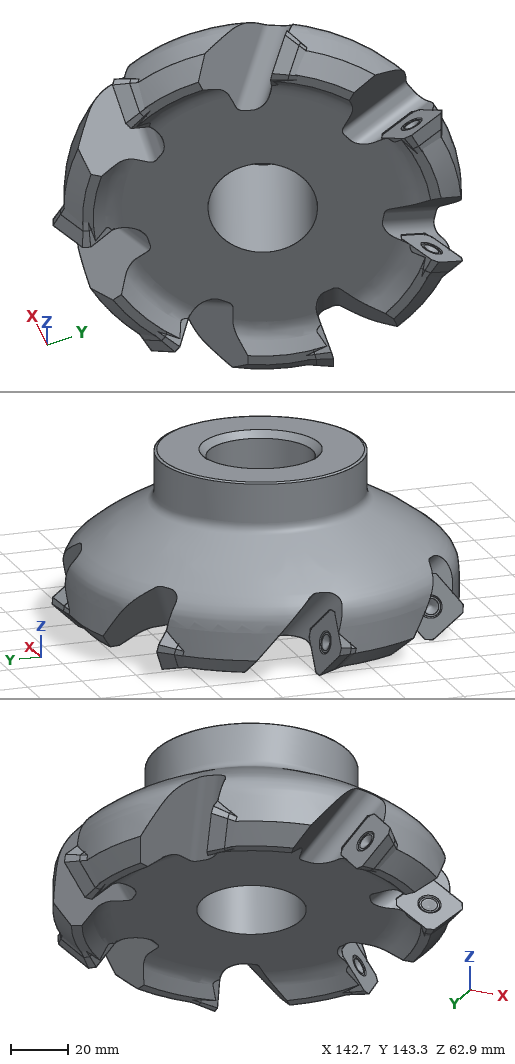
import cadquery as cq
import math

total_height = 62.9
hub_radius = 74.4 / 2
hub_chamfer_width = 1.0
hub_chamfer_height = 0.5
hub_bottom_z = 48.0
neck_fillet_radius = 4.0
neck_slope = 28.0
dome_shoulder_radius = 56.0
dome_shoulder_z = 35.1
dome_flank_radius = 64.5
dome_flank_z = 28.7
belt_radius = 69.2
belt_top_z = 18.3
belt_bottom_z = 8.3
rim_bottom_z = 1.9
rim_inner_radius = 59.0
recess_depth = belt_bottom_z - rim_bottom_z
recess_side_slope = 45.0
recess_fillet_radius = 8.6
bore_radius = 38.1 / 2
bore_chamfer = 2.5

insert_count = 7
pitch_angle = 360 / insert_count
first_insert_angle = 28.6
tip_radius = 73.5
axial_rake = 14.5
radial_rake = 5.0
insert_reach = 11.6
insert_center_z = insert_reach * math.cos(math.radians(axial_rake))
corner_half_width = 1.5
insert_thickness = 5.6
insert_relief = 26.0
seat_thickness = 3.5
pocket_mouth = 5.7
screw_sink_diameter = 8.2
screw_head_diameter = 7.2
screw_sink_depth = 0.3
socket_rim_diameter = 5.7
socket_diameter = 4.5
socket_rim_depth = 0.3
socket_depth = 1.5

flute_floor_offset = 12.0
flute_rake_fillet = 4.7
flute_wall_fillet = 3.5
flute_floor_width = 9.2
flute_wall_angle = 40.6
flute_opening = 57.3
flute_half_length = 57.3


def place_at_rim(shape, angle):
    """Move a shape from the insert's own frame (face in XZ, facing -Y) to its place on the rim."""
    tilted = shape.rotate((0, 0, 0), (1, 0, 0), -axial_rake)
    tilted = tilted.rotate((0, 0, 0), (0, 0, 1), radial_rake)
    reach = insert_reach * math.cos(math.radians(radial_rake))
    lag = insert_reach * math.sin(math.radians(radial_rake))
    moved = tilted.translate((tip_radius - reach, -lag, insert_center_z))
    return moved.rotate((0, 0, 0), (0, 0, 1), angle)


def clipped_square(plane_y, scale):
    """Outline of a square standing on a clipped corner, in the XZ plane at Y = plane_y."""
    reach = insert_reach * scale
    half = corner_half_width * scale
    corners = [
        (reach, -half), (reach, half), (half, reach), (-half, reach),
        (-reach, half), (-reach, -half), (-half, -reach), (half, -reach),
    ]
    return cq.Wire.makePolygon([cq.Vector(x, plane_y, z) for x, z in corners], close=True)


def relieved_plate(front_depth, back_depth):
    """Slice of the insert's tapered form between two depths behind its front face."""
    narrowing = math.tan(math.radians(insert_relief)) / insert_reach
    front = clipped_square(front_depth, 1 - front_depth * narrowing)
    back = clipped_square(back_depth, 1 - back_depth * narrowing)
    return cq.Workplane(cq.Solid.makeLoft([front, back], True))


def make_housing_blank():
    """Hub, domed flank, belt and 45 degree rim turned around Z, bored through and recessed below."""
    slope = math.radians(neck_slope)
    neck_radius = hub_radius + neck_fillet_radius * (1 - math.sin(slope))
    neck_z = hub_bottom_z - neck_fillet_radius * math.cos(slope)
    half_turn = (math.pi / 2 - slope) / 2
    neck_mid = (
        hub_radius + neck_fillet_radius * (1 - math.cos(half_turn)),
        hub_bottom_z - neck_fillet_radius * math.sin(half_turn),
    )
    rim_outer_radius = belt_radius - recess_depth
    profile = (
        cq.Workplane("XZ")
        .moveTo(bore_radius, total_height - bore_chamfer)
        .lineTo(bore_radius + bore_chamfer, total_height)
        .lineTo(hub_radius - hub_chamfer_width, total_height)
        .lineTo(hub_radius, total_height - hub_chamfer_height)
        .lineTo(hub_radius, hub_bottom_z)
        .threePointArc(neck_mid, (neck_radius, neck_z))
        .spline(
            [
                (dome_shoulder_radius, dome_shoulder_z),
                (dome_flank_radius, dome_flank_z),
                (belt_radius, belt_top_z),
            ],
            tangents=[(math.cos(slope), -math.sin(slope)), (0, -1)],
            includeCurrent=True,
        )
        .lineTo(belt_radius, belt_bottom_z)
        .lineTo(rim_outer_radius, rim_bottom_z)
        .lineTo(bore_radius, rim_bottom_z)
        .close()
    )
    blank = profile.revolve(360, (0, 0, 0), (0, 1, 0))
    recess = (
        cq.Workplane("XY")
        .workplane(offset=rim_bottom_z)
        .circle(rim_inner_radius)
        .extrude(recess_depth, taper=recess_side_slope)
        .faces(">Z").edges().fillet(recess_fillet_radius)
    )
    return blank.cut(recess)


def make_flute():
    """V groove between the insert's face plane and a sloping far wall, along the (1, 0, 1) diagonal."""
    wall_rise = (flute_floor_offset + flute_opening) * math.tan(math.radians(flute_wall_angle))
    section_plane = cq.Plane(origin=(0, 0, 0), xDir=(-1, 0, 1), normal=(1, 0, 1))
    groove = (
        cq.Workplane(section_plane)
        .workplane(offset=-flute_half_length)
        .moveTo(-flute_opening, 0)
        .lineTo(flute_floor_offset, 0)
        .lineTo(flute_floor_offset, flute_floor_width)
        .lineTo(-flute_opening, flute_floor_width + wall_rise)
        .close()
        .extrude(2 * flute_half_length)
    )
    groove = groove.faces(">(-1, 0, 1)").edges(">Y").fillet(flute_rake_fillet)
    return groove.faces(">(-1, 0, 1)").edges("<Y").fillet(flute_wall_fillet)


def make_insert():
    """Tapered plate with the stepped recess of its screw head, ending in a conical bottom."""
    plate = relieved_plate(0, insert_thickness)
    sink = screw_sink_depth
    rim = sink + socket_rim_depth
    screw_recess = (
        cq.Workplane("XY")
        .polyline([
            (0, 0), (screw_sink_diameter / 2, 0), (screw_head_diameter / 2, sink),
            (socket_rim_diameter / 2, sink), (socket_diameter / 2, rim),
            (0, rim + socket_depth),
        ])
        .close()
        .revolve(360, (0, 0, 0), (0, 1, 0))
    )
    return plate.cut(screw_recess)


def make_pocket():
    """Room for one insert, with a straight mouth in front of its face."""
    outline = clipped_square(0, 1)
    mouth = cq.Workplane(cq.Solid.extrudeLinear(outline, [], cq.Vector(0, -pocket_mouth, 0)))
    return relieved_plate(0, insert_thickness).union(mouth)


insert_angles = [first_insert_angle + i * pitch_angle for i in range(insert_count)]
seat = relieved_plate(insert_thickness, insert_thickness + seat_thickness)
flute = make_flute()
pocket = make_pocket()
insert = make_insert()

housing = make_housing_blank()
for angle in insert_angles:
    housing = housing.union(place_at_rim(seat, angle))
for angle in insert_angles:
    housing = housing.cut(place_at_rim(flute, angle)).cut(place_at_rim(pocket, angle))

inserts = [place_at_rim(insert, angle) for angle in insert_angles]

result = cq.Compound.makeCompound([housing.solids().val(), *[body.solids().val() for body in inserts]])